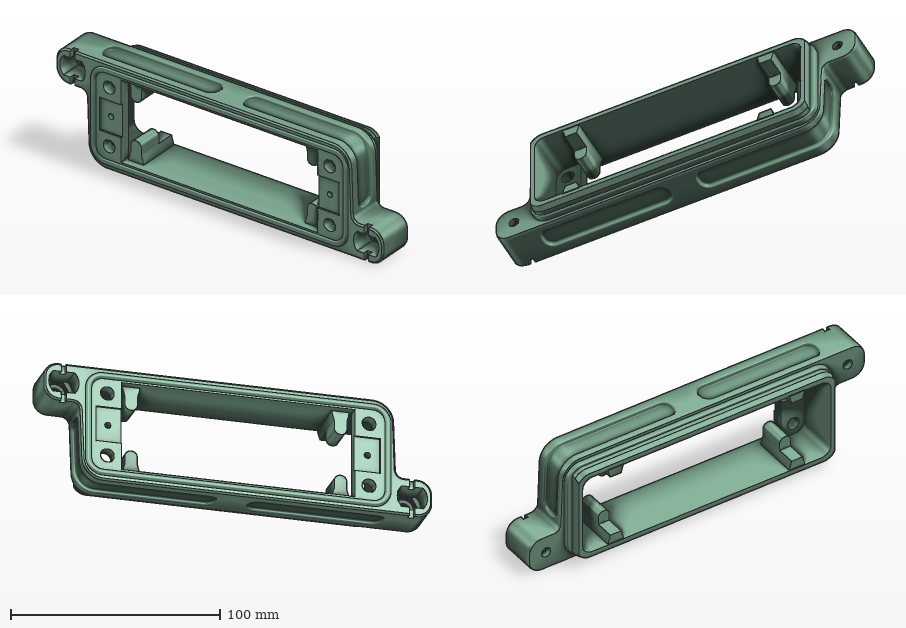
import cadquery as cq
import math

total_depth = 29.9
back_y = total_depth / 2
bead_height = 0.85
front_y = -total_depth / 2 + bead_height
body_back_y = 6.4
gasket_back_y = 9.4
collar_taper_y = 11.9

half_length = 96.5
half_height = 29.0
ear_height = 19.0
ear_inner_z = half_height - ear_height
ear_radius = 7.25
neck_radius = 4.0
body_corner_radius = 10.8
side_x_at_ear = 78.6
side_x_at_corner = 77.2
front_chamfer = 0.85
back_chamfer_depth = 1.4
back_chamfer_width = 0.3

bead_half_length = 74.5
bead_half_height = 25.1
bead_corner_radius = 7.3
bead_width = 3.1

gasket_half_length = 76.4
gasket_half_height = 27.1
gasket_corner_radius = 9.2
gasket_edge_radius = 0.8
corner_centre_x = gasket_half_length - gasket_corner_radius
corner_centre_z = gasket_half_height - gasket_corner_radius
collar_corner_radius = 8.2
collar_half_height = corner_centre_z + collar_corner_radius
collar_half_length = 73.7
collar_taper_width = 1.0
collar_end_taper_width = 0.15

opening_half_length = 58.0
opening_half_height = 22.4
opening_flare = 0.2
opening_flare_end_y = front_y + 5.0
end_wall_thickness = 6.0
end_wall_back_y = front_y + end_wall_thickness
cavity_half_length = 71.4
cavity_corner_radius = 5.6

screw_hole_x = 65.1
screw_hole_z = 16.1
screw_hole_diameter = 6.8
pin_hole_x = 64.6
pin_hole_diameter = 3.0
recess_outer_x = 70.7
recess_half_height = 9.0
recess_depth = 1.0

rib_x = 52.1
rib_front_y = front_y + 4.0
rib_width = 6.2
rib_tip_z = 10.6
rib_tip_radius = 3.0
rib_back_y = 4.2
rib_base_width = 9.0
rib_base_z = 17.5
rib_base_back_y = 14.5
rib_root = 1.0

ear_hole_x = 86.7
ear_hole_z = half_height - ear_height / 2
seat_diameter = 15.0
seat_height = 10.6
seat_depth = 12.0
nut_across_flats = 10.3
nut_depth = 2.0
bore_diameter = 10.1
bore_depth = 1.5
ring_diameter = 6.2
ring_depth = 1.5
ear_hole_diameter = 5.2
notch_width = 2.7
notch_depth = 3.1

pocket_front_y = -9.2
pocket_back_y = 3.3
pocket_edge_radius = 0.9
pocket_depth = 2.0
pocket_rim_corner_radius = 5.5
pocket_corner_radius = pocket_rim_corner_radius - pocket_edge_radius
pocket_inner_x = 7.0
pocket_outer_x = 76.2
pocket_side_end_z = -6.7
pocket_height = pocket_back_y - pocket_front_y - 2 * pocket_edge_radius
seam_tolerance = 0.05

overcut = 5.0


def half_turn(shape):
    return shape.rotate((0, 0, 0), (0, 1, 0), 180)


def sketch_plane(y):
    """XZ plane at depth y; positive extrusion runs towards the front (-Y)."""
    return cq.Workplane("XZ", origin=(0, y, 0))


def rounded_block(half_x, half_z, radius, rear_y, fore_y):
    block = sketch_plane(rear_y).rect(2 * half_x, 2 * half_z).extrude(rear_y - fore_y)
    return block.edges("|Y").fillet(radius)


def box_between(x0, x1, y0, y1, z0, z1):
    return cq.Workplane("XY").box(x1 - x0, y1 - y0, z1 - z0, centered=False).translate((x0, y0, z0))


def body_blank():
    """Body with its two ears, corners rounded."""
    half_outline = [
        (-half_length, half_height, ear_radius),
        (side_x_at_corner, half_height, body_corner_radius),
        (side_x_at_ear, -ear_inner_z, neck_radius),
        (half_length, -ear_inner_z, ear_radius),
    ]
    corners = half_outline + [(-x, -z, radius) for x, z, radius in half_outline]
    outline = [(x, z) for x, z, _ in corners]
    blank = sketch_plane(body_back_y).polyline(outline).close().extrude(body_back_y - front_y)
    mid_y = (body_back_y + front_y) / 2
    for x, z, radius in corners:
        blank = blank.edges(cq.NearestToPointSelector((x, mid_y, z))).fillet(radius)
    return blank


def is_pocket_edge(edge):
    """True for rim and floor edges, false for seams where two tangent faces meet."""
    box = edge.BoundingBox()
    inside_band = box.ymin > pocket_front_y and box.ymax < pocket_back_y
    if edge.geomType() != "LINE":
        return inside_band
    crosses_wall = abs(edge.Length() - pocket_depth) < seam_tolerance
    crosses_floor = abs(box.ylen - pocket_height) < seam_tolerance
    return inside_band and not crosses_wall and not crosses_floor


def cut_pockets(body):
    """Straight pocket, and the pocket that wraps the corner, on each long side."""
    y_range = (pocket_front_y + pocket_edge_radius, pocket_back_y - pocket_edge_radius)
    inner_x = pocket_inner_x + pocket_edge_radius
    outer_x = pocket_outer_x - pocket_edge_radius
    side_end_z = pocket_side_end_z + pocket_edge_radius
    floor_z = half_height - pocket_depth
    beyond_z = half_height + overcut

    straight = box_between(-outer_x, -inner_x, *y_range, floor_z, beyond_z)
    straight = straight.edges("|Z").fillet(pocket_corner_radius)

    rear_outline = body.faces(">Y").wires().vals()
    floor_core = sketch_plane(body_back_y).add(rear_outline).toPending()
    floor_core = floor_core.offset2D(-pocket_depth).extrude(body_back_y - front_y)
    wrapped = box_between(inner_x, half_length, *y_range, side_end_z, beyond_z)
    wrapped = wrapped.edges("|Z and <X").fillet(pocket_corner_radius)
    wrapped = wrapped.edges("|X and <Z").fillet(pocket_corner_radius)
    wrapped = wrapped.cut(floor_core)

    for cutter in (straight, wrapped):
        body = body.cut(cutter).cut(half_turn(cutter))
    return body.edges().filter(is_pocket_edge).fillet(pocket_edge_radius)


def chamfer_outline(body):
    body = body.faces("<Y").edges().chamfer(front_chamfer)
    return body.faces(">Y").edges().chamfer(back_chamfer_depth, back_chamfer_width)


def sealing_bead():
    """Round bar let into the front face so that only its crown stands proud."""
    half_width = bead_width / 2
    bar_radius = (half_width**2 + bead_height**2) / (2 * bead_height)
    centre_y = front_y - bead_height + bar_radius
    block = rounded_block(bead_half_length, bead_half_height, bead_corner_radius, centre_y, -back_y)
    path = block.faces(">Y").wires()
    bar = cq.Workplane("XY", origin=(bead_half_length, centre_y, 0)).circle(bar_radius)
    return bar.sweep(path, transition="right")


def gasket():
    plate = rounded_block(
        gasket_half_length, gasket_half_height, gasket_corner_radius, gasket_back_y, body_back_y
    )
    return plate.faces(">Y").edges().fillet(gasket_edge_radius)


def collar():
    """Rear collar with a sloped lip all round and flat, slightly sloped ends."""
    round_end_x = corner_centre_x + collar_corner_radius
    block = rounded_block(round_end_x, collar_half_height, collar_corner_radius, back_y, body_back_y)
    block = block.faces(">Y").edges().chamfer(back_y - collar_taper_y, collar_taper_width)
    lip_half_length = collar_half_length - collar_end_taper_width
    end_profile = [
        (collar_half_length, body_back_y),
        (collar_half_length, collar_taper_y),
        (lip_half_length, back_y),
        (-lip_half_length, back_y),
        (-collar_half_length, collar_taper_y),
        (-collar_half_length, body_back_y),
    ]
    envelope = cq.Workplane("XY").polyline(end_profile).close().extrude(collar_half_height, both=True)
    return block.intersect(envelope)


def cut_opening(body):
    """Wider cavity behind the end walls, narrower opening between them."""
    cavity = rounded_block(
        cavity_half_length, opening_half_height, cavity_corner_radius, back_y, end_wall_back_y
    )
    flared_half_height = opening_half_height + opening_flare
    half_profile = [
        (back_y, opening_half_height),
        (opening_flare_end_y, opening_half_height),
        (front_y, flared_half_height),
        (-back_y, flared_half_height),
    ]
    profile = half_profile + [(y, -z) for y, z in reversed(half_profile)]
    opening = cq.Workplane("YZ").polyline(profile).close().extrude(opening_half_length, both=True)
    return body.cut(cavity).cut(opening)


def cut_end_wall(body):
    """Screw holes, pin hole and shallow recess of the end wall at -X."""
    screw_points = [(-screw_hole_x, z) for z in (-screw_hole_z, screw_hole_z)]
    screws = sketch_plane(end_wall_back_y).pushPoints(screw_points).circle(screw_hole_diameter / 2)
    pin = sketch_plane(end_wall_back_y).center(-pin_hole_x, 0).circle(pin_hole_diameter / 2)
    recess = box_between(
        -recess_outer_x,
        -opening_half_length,
        front_y,
        front_y + recess_depth,
        -recess_half_height,
        recess_half_height,
    )
    for cutter in (screws.extrude(total_depth), pin.extrude(total_depth), recess):
        body = body.cut(cutter).cut(half_turn(cutter))
    return body


def guide_rib():
    """Rib on the upper wall at -X: a flared base with a taller tip on its front part."""
    root_z = opening_half_height + rib_root
    half_width = rib_width / 2
    half_base = rib_base_width / 2
    tip = box_between(
        -rib_x - half_width, -rib_x + half_width, rib_front_y, rib_back_y, rib_tip_z, root_z
    )
    tip = tip.edges("|Y and <Z").fillet(rib_tip_radius)
    base_outline = [
        (-half_width, rib_base_z),
        (half_width, rib_base_z),
        (half_base, opening_half_height),
        (half_base, root_z),
        (-half_base, root_z),
        (-half_base, opening_half_height),
    ]
    base = sketch_plane(rib_base_back_y).center(-rib_x, 0).polyline(base_outline).close()
    return base.extrude(rib_base_back_y - rib_front_y).union(tip)


def guide_ribs():
    """The four ribs, mirrored about both centre planes."""
    rib = guide_rib()
    pair = rib.union(rib.mirror("YZ"))
    return pair.union(pair.mirror("XY"))


def ear_seat():
    """Fastener seat of the ear at -X: flatted round pocket, nut seat, stepped hole and cross notch."""
    floor_y = front_y + seat_depth
    bore_y = floor_y + nut_depth + bore_depth
    ring_y = bore_y + ring_depth
    nut_across_corners = nut_across_flats / math.cos(math.pi / 6)

    def at_hole(y):
        return sketch_plane(y).center(-ear_hole_x, ear_hole_z)

    round_seat = at_hole(floor_y).circle(seat_diameter / 2).extrude(seat_depth)
    seat = at_hole(floor_y).rect(seat_diameter, seat_height).extrude(seat_depth).intersect(round_seat)
    nut = at_hole(floor_y + nut_depth).polygon(6, nut_across_corners).extrude(nut_depth)
    bore = at_hole(bore_y).circle(bore_diameter / 2).extrude(bore_depth)
    ring = at_hole(ring_y).circle(ring_diameter / 2).extrude(ring_depth)
    through = at_hole(body_back_y).circle(ear_hole_diameter / 2).extrude(body_back_y - front_y)
    notch = at_hole(front_y + notch_depth).rect(notch_width, ear_height).extrude(notch_depth)
    return seat.union(nut).union(bore).union(ring).union(through).union(notch)


body = chamfer_outline(cut_pockets(body_blank()))
body = body.union(gasket()).union(collar()).union(sealing_bead())
body = cut_end_wall(cut_opening(body))
body = body.union(guide_ribs())
seat = ear_seat()
result = body.cut(seat).cut(half_turn(seat))